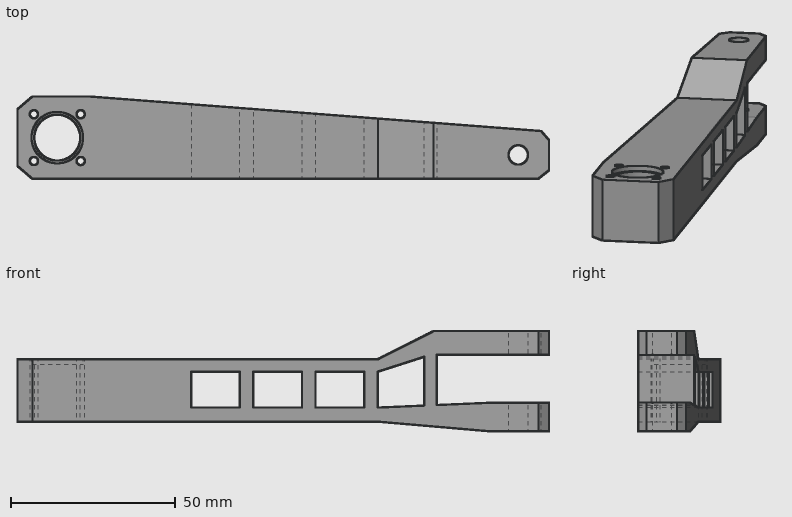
import cadquery as cq

length = 161.4
width = 25.0
height = 30.5

body_bottom = 2.9
body_top = 22.0
flare_start = 109.5
upper_flare_end = 126.4
lower_flare_end = 143.2
fork_start = 127.4
upper_prong_bottom = 23.2
lower_prong_top = 8.7

taper_start = 22.1
tip_width = 14.4
root_chamfer_x = 4.5
root_chamfer_y = 3.9
tip_front_chamfer_x = 3.2
tip_chamfer_y = 2.6
tip_back_chamfer_x = 2.5

window_count = 3
window_width = 14.7
window_pitch = 18.9
window_bottom = 7.3
window_top = 18.0
last_window_end = 123.5
last_window_top = 22.6

bore_x = 12.1
bore_diameter = 13.9
counterbore_diameter = 15.7
counterbore_depth = 1.6
screw_spacing = 14.2
screw_diameter = 2.5
pin_x = 152.0
pin_y = 7.3
pin_diameter = 5.8


def taper_width(x):
    """Width of the arm at a place along the tapered back side."""
    return width - (width - tip_width) * (x - taper_start) / (length - taper_start)


def lower_prong_height(x):
    """Height of the sloped inner surface leading to the lower prong."""
    slope = (lower_prong_top - window_bottom) / (lower_flare_end - flare_start)
    return window_bottom + slope * (x - flare_start)


def extrude_side(points):
    """Extrude an XZ outline across the full width."""
    return cq.Workplane("XZ").polyline(points).close().extrude(-width)


def make_arm():
    """Intersect the forked side profile with the tapered plan outline."""
    side = extrude_side([
        (0, body_bottom),
        (flare_start, body_bottom),
        (lower_flare_end, 0),
        (length, 0),
        (length, lower_prong_top),
        (lower_flare_end, lower_prong_top),
        (fork_start, lower_prong_height(fork_start)),
        (fork_start, upper_prong_bottom),
        (length, upper_prong_bottom),
        (length, height),
        (upper_flare_end, height),
        (flare_start, body_top),
        (0, body_top),
    ])
    back_chamfer_start = length - tip_back_chamfer_x
    plan = (
        cq.Workplane("XY")
        .polyline([
            (root_chamfer_x, 0),
            (length - tip_front_chamfer_x, 0),
            (length, tip_chamfer_y),
            (length, tip_width - tip_chamfer_y),
            (back_chamfer_start, taper_width(back_chamfer_start)),
            (taper_start, width),
            (root_chamfer_x, width),
            (0, width - root_chamfer_y),
            (0, root_chamfer_y),
        ])
        .close()
        .extrude(height)
    )
    return side.intersect(plan)


def cut_windows(arm):
    """Cut the equal rectangular windows and the flared last one."""
    for index in range(window_count):
        start = flare_start - (window_count - index) * window_pitch
        end = start + window_width
        arm = arm.cut(extrude_side([
            (start, window_bottom),
            (end, window_bottom),
            (end, window_top),
            (start, window_top),
        ]))
    return arm.cut(extrude_side([
        (flare_start, window_bottom),
        (last_window_end, lower_prong_height(last_window_end)),
        (last_window_end, last_window_top),
        (flare_start, window_top),
    ]))


def vertical_cylinders(diameter, centers, bottom=0):
    """Cylinders from the given height up to the top of the part."""
    return (
        cq.Workplane("XY", origin=(0, 0, bottom))
        .pushPoints(centers)
        .circle(diameter / 2)
        .extrude(height - bottom)
    )


def cut_holes(arm):
    """Cut the counterbored bore, its screw holes and the fork pin holes."""
    bore_center = (bore_x, width / 2)
    offset = screw_spacing / 2
    screw_centers = [
        (bore_x + dx, width / 2 + dy)
        for dx in (-offset, offset)
        for dy in (-offset, offset)
    ]
    arm = arm.cut(vertical_cylinders(bore_diameter, [bore_center]))
    arm = arm.cut(vertical_cylinders(counterbore_diameter, [bore_center], body_top - counterbore_depth))
    arm = arm.cut(vertical_cylinders(screw_diameter, screw_centers))
    return arm.cut(vertical_cylinders(pin_diameter, [(pin_x, pin_y)]))


result = cut_holes(cut_windows(make_arm()))